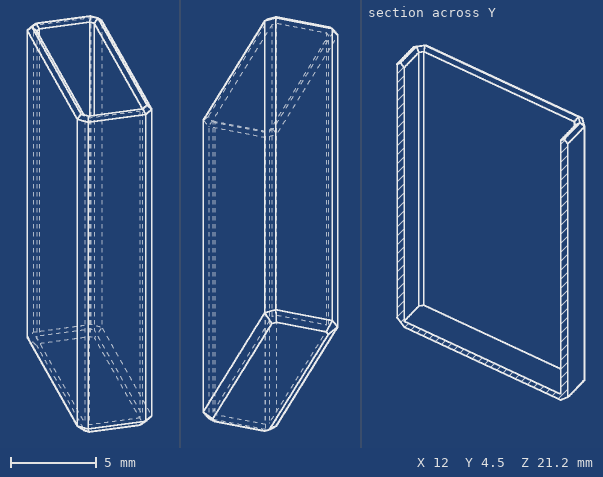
import cadquery as cq
import math

width = 12.0
depth = 4.5
height = 21.25
wall = 0.5
edge_chamfer = 0.5

rim_bevel = wall / 2

LEG_LOSS = 2 - math.sqrt(2)


def chamfered_prism(inset, bottom, top):
    """Upright prism with the outer outline moved inwards evenly by inset."""
    return (
        cq.Workplane("XY", origin=(0, 0, bottom))
        .rect(width - 2 * inset, depth - 2 * inset)
        .extrude(top - bottom)
        .edges("|Z")
        .chamfer(edge_chamfer - LEG_LOSS * inset)
    )


def make_body():
    """Solid block with chamfered bottom edges and the outer rim bevel."""
    body = chamfered_prism(0, 0, height)
    body = body.faces("<Z").edges().chamfer(edge_chamfer)
    return body.faces(">Z").edges().chamfer(rim_bevel)


def make_cavity():
    """Pocket open at the top, flaring outwards at the rim."""
    pocket = chamfered_prism(wall, wall, height)
    flare = (
        chamfered_prism(rim_bevel, height - rim_bevel, height + rim_bevel)
        .faces("<Z")
        .edges()
        .chamfer(rim_bevel)
    )
    return pocket.union(flare)


result = make_body().cut(make_cavity())